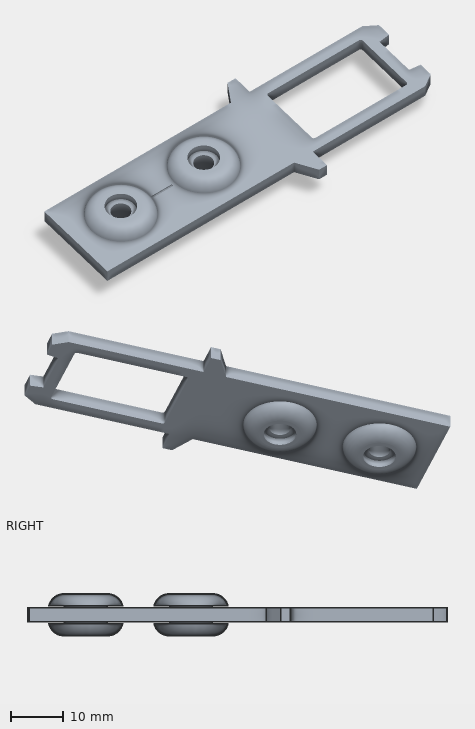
import cadquery as cq
import math

tilt_angle = 0.8
plate_length = 80.0
plate_width = 19.6
plate_thickness = 2.7

prong_height = 2.7
prong_tip_outer = 8.0
prong_tip_inner = 4.9
notch_depth = 2.6
notch_half_floor = 4.6

wing_span = 28.4
wing_top = 9.95
wing_tip_bottom = 8.0
wing_root_bottom = 5.4

window_width = 14.6
window_top = 35.1
window_bottom = 12.0
window_corner_radius = 0.5

grommet_places = (-8.9, -29.05)
grommet_height = 8.0
flange_radius = 7.1
flange_clearance = 0.3
crown_radius = 4.1
neck_radius = crown_radius
counterbore_radius = 3.1
counterbore_depth = 1.5
bore_radius = 2.0

groove_length = 5.0
groove_width = 0.5
groove_depth = 0.25

top = plate_length / 2
half_width = plate_width / 2
half_height = grommet_height / 2


def mirrored_outline(right_side):
    """Close a half outline, listed bottom to top, with its mirror image about the Y axis."""
    left_side = [(-x, y) for x, y in reversed(right_side)]
    return cq.Workplane("XY").polyline(right_side + left_side).close()


def plate_blank():
    half_wing = wing_span / 2
    outline = mirrored_outline([
        (half_width, -top),
        (half_width, wing_root_bottom),
        (half_wing, wing_tip_bottom),
        (half_wing, wing_top),
        (half_width, wing_top),
        (half_width, top - prong_height),
        (prong_tip_outer, top),
        (prong_tip_inner, top),
        (notch_half_floor, top - notch_depth),
    ])
    return outline.extrude(plate_thickness / 2, both=True)


def window():
    return (
        cq.Workplane("XY")
        .center(0, (window_top + window_bottom) / 2)
        .rect(window_width, window_top - window_bottom)
        .extrude(plate_thickness, both=True)
        .edges("|Z")
        .fillet(window_corner_radius)
    )


def grommet_seats():
    return (
        cq.Workplane("XY")
        .pushPoints([(0, y) for y in grommet_places])
        .circle(neck_radius)
        .extrude(plate_thickness, both=True)
    )


def marking_groove():
    middle = sum(grommet_places) / len(grommet_places)
    return (
        cq.Workplane("XY", origin=(0, middle, plate_thickness / 2 - groove_depth))
        .rect(groove_width, groove_length)
        .extrude(2 * groove_depth)
    )


def tilted(body):
    return body.rotate((0, 0, 0), (0, 0, 1), tilt_angle)


def make_plate():
    return tilted(plate_blank().cut(window()).cut(grommet_seats()).cut(marking_groove()))


def make_grommet(y):
    """Ring with a neck through the plate and a domed flange over each face, alike above and below."""
    flange_base = plate_thickness / 2 + flange_clearance
    ledge_z = half_height - counterbore_depth
    dome_width = flange_radius - crown_radius
    dome_height = half_height - flange_base
    dome_radius = (dome_width**2 + dome_height**2) / (2 * dome_height)
    dome_half_turn = math.atan2(dome_height, dome_width)
    dome_middle = (
        crown_radius + dome_radius * math.sin(dome_half_turn),
        half_height - dome_radius * (1 - math.cos(dome_half_turn)),
    )
    upper_half = (
        cq.Workplane("XZ")
        .moveTo(bore_radius, 0)
        .lineTo(neck_radius, 0)
        .lineTo(neck_radius, flange_base)
        .lineTo(flange_radius, flange_base)
        .threePointArc(dome_middle, (crown_radius, half_height))
        .lineTo(counterbore_radius, half_height)
        .lineTo(counterbore_radius, ledge_z)
        .lineTo(bore_radius, ledge_z)
        .close()
        .revolve(360, (0, 0, 0), (0, 1, 0))
    )
    grommet = upper_half.union(upper_half.mirror("XY"))
    return tilted(grommet.translate((0, y, 0)))


plate = make_plate()
grommets = [make_grommet(y) for y in grommet_places]

result = cq.Compound.makeCompound([plate.val(), *[grommet.val() for grommet in grommets]])